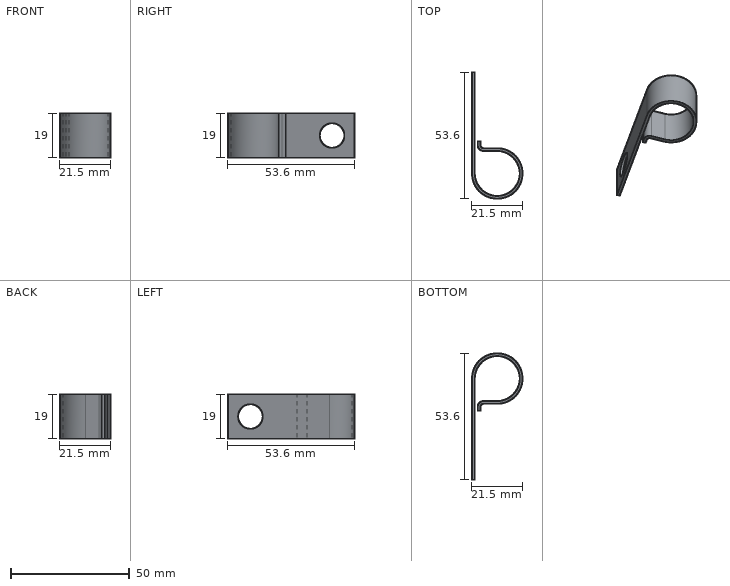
import cadquery as cq

length = 53.6
width = 19.0
thickness = 1.3
loop_diameter = 21.5
hole_diameter = 10.3
lip_offset = 2.4
lip_rise = 2.9
bend_inner_radius = 1.25

outer_radius = loop_diameter / 2
inner_radius = outer_radius - thickness
strap_end = length - outer_radius
hole_y = strap_end - width / 2
bend_outer_radius = bend_inner_radius + thickness
lip_x = -outer_radius + lip_offset
lip_end = outer_radius + lip_rise
bend_x = lip_x + bend_outer_radius
bend_y = outer_radius + bend_inner_radius


def make_strap():
    """Flat strap tangent to the left side of the loop."""
    return cq.Workplane("XY").box(thickness, strap_end, width, centered=False).translate(
        (-outer_radius, 0, 0)
    )


def make_loop():
    """Three-quarter ring from the strap round to the top of the loop."""
    ring = cq.Workplane("XY").circle(outer_radius).circle(inner_radius).extrude(width)
    open_quarter = cq.Workplane("XY").rect(-outer_radius, outer_radius, centered=False).extrude(width)
    return ring.cut(open_quarter)


def make_lip():
    """Straight run leaving the loop, bent outward into a short lip."""
    diagonal = 0.5 ** 0.5

    def bend_middle(radius):
        return (bend_x - radius * diagonal, bend_y - radius * diagonal)

    return (
        cq.Workplane("XY")
        .moveTo(0, inner_radius)
        .lineTo(bend_x, inner_radius)
        .threePointArc(bend_middle(bend_outer_radius), (lip_x, bend_y))
        .lineTo(lip_x, lip_end)
        .lineTo(lip_x + thickness, lip_end)
        .lineTo(lip_x + thickness, bend_y)
        .threePointArc(bend_middle(bend_inner_radius), (bend_x, outer_radius))
        .lineTo(0, outer_radius)
        .close()
        .extrude(width)
    )


def make_screw_hole():
    """Cutter for the hole through the strap, as far from its end as from its edges."""
    return (
        cq.Workplane("YZ", origin=(-outer_radius, hole_y, width / 2))
        .circle(hole_diameter / 2)
        .extrude(thickness)
    )


result = make_loop().union(make_strap()).union(make_lip()).cut(make_screw_hole())